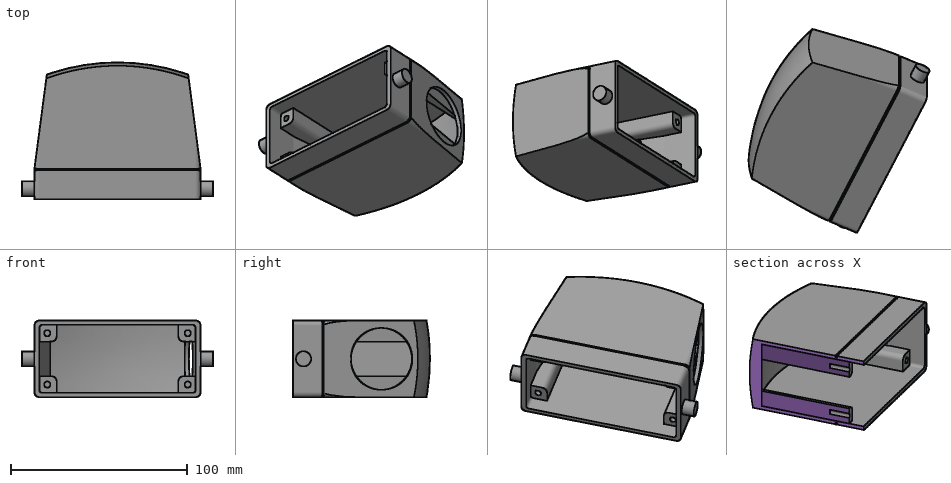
import cadquery as cq
import math

LENGTH = 94.0
WIDTH = 43.5
HEIGHT = 77.55
CORNER_RADIUS = 3.0
TAPER_START = 17.5
TAPER_ANGLE = 7.5
DOME_RADIUS = 119.0

GROOVE_WIDTH = 1.0
GROOVE_DEPTH = 1.0

SIDE_WALL = 2.5
END_WALL = 2.85
CAVITY_CORNER_RADIUS = 1.75
CAVITY_TAPER_START = 20.0
ROOF_THICKNESS = 3.5

PEG_DIAMETER = 8.6
PEG_SPAN = 108.0
PEG_HEIGHT = 6.0

ENTRY_DIAMETER = 35.0
ENTRY_HEIGHT = 50.2

POST_RECESS = 9.0
POST_INNER_X = 34.4
POST_OUTER_X = 44.0
POST_INNER_Z = 9.8
POST_EDGE_RADIUS = 3.0
SCREW_DIAMETER = 3.5
SCREW_DEPTH = 12.0
SCREW_X = 39.7
SCREW_Z = 14.5

CAVITY_LENGTH = LENGTH - 2 * END_WALL
CAVITY_WIDTH = WIDTH - 2 * SIDE_WALL
CAVITY_HEIGHT = HEIGHT - ROOF_THICKNESS


def prism(length, width, start, end, radius):
    """Rounded rectangular bar along Y, centred on the Y axis."""
    bar = cq.Workplane("XY").box(length, end - start, width).edges("|Y").fillet(radius)
    return bar.translate((0, (start + end) / 2, 0))


def end_wall_slab(length, taper_start, top):
    """Slab along Z with end walls that are straight up to taper_start and lean inwards above it."""
    rim_x = length / 2
    top_x = rim_x - (top - taper_start) * math.tan(math.radians(TAPER_ANGLE))
    outline = [
        (rim_x, 0),
        (rim_x, taper_start),
        (top_x, top),
        (-top_x, top),
        (-rim_x, taper_start),
        (-rim_x, 0),
    ]
    return cq.Workplane("XY").polyline(outline).close().extrude(WIDTH, both=True)


def dome_ball(radius, top):
    """Ball with its poles on the Y axis and its crown at the given height."""
    centre = cq.Vector(0, top - radius, 0)
    ball = cq.Solid.makeSphere(radius, centre, cq.Vector(0, 1, 0), -90, 90, 360)
    return cq.Workplane(ball)


def build_envelope():
    """Outer shape of the hood, without groove, pegs and openings."""
    block = prism(LENGTH, WIDTH, 0, HEIGHT, CORNER_RADIUS)
    block = block.intersect(end_wall_slab(LENGTH, TAPER_START, HEIGHT))
    return block.intersect(dome_ball(DOME_RADIUS, HEIGHT))


def build_cavity():
    """Shape of the space inside the hood, which the posts also fit into."""
    block = prism(CAVITY_LENGTH, CAVITY_WIDTH, 0, CAVITY_HEIGHT, CAVITY_CORNER_RADIUS)
    slab = end_wall_slab(CAVITY_LENGTH, CAVITY_TAPER_START, CAVITY_HEIGHT)
    return block.intersect(slab).intersect(dome_ball(DOME_RADIUS - ROOF_THICKNESS, CAVITY_HEIGHT))


def groove_ring():
    start = TAPER_START - GROOVE_WIDTH
    outside = prism(LENGTH + GROOVE_DEPTH, WIDTH + GROOVE_DEPTH, start, TAPER_START, CORNER_RADIUS)
    core_length = LENGTH - 2 * GROOVE_DEPTH
    core_width = WIDTH - 2 * GROOVE_DEPTH
    core = prism(core_length, core_width, start, TAPER_START, CORNER_RADIUS)
    return outside.cut(core)


def cable_entry():
    """Cutter square to the leaning +X end wall, long enough to pass through that wall only."""
    lean = math.radians(TAPER_ANGLE)
    wall_x = LENGTH / 2 - (ENTRY_HEIGHT - TAPER_START) * math.tan(lean)
    axis = cq.Vector(math.cos(lean), math.sin(lean), 0)
    reach = 2 * END_WALL
    start = cq.Vector(wall_x, ENTRY_HEIGHT, 0) - axis * reach
    return cq.Workplane(cq.Solid.makeCylinder(ENTRY_DIAMETER / 2, 2 * reach, start, axis))


def peg(side):
    """Locking peg on one end wall, rooted halfway into the wall."""
    root = side * (LENGTH - END_WALL) / 2
    tip = side * PEG_SPAN / 2
    section = cq.Workplane("YZ", origin=(root, PEG_HEIGHT, 0)).circle(PEG_DIAMETER / 2)
    return section.extrude(tip - root)


def build_hood(cavity):
    hood = build_envelope().cut(cavity).cut(groove_ring()).cut(cable_entry())
    for side in (-1, 1):
        hood = hood.union(peg(side))
    return hood


def build_post(cavity, side_x, side_z):
    """Screw post in one corner: a bar from the post face to the roof, trimmed to fit the cavity."""
    size_x = POST_OUTER_X - POST_INNER_X
    size_y = CAVITY_HEIGHT - POST_RECESS
    size_z = CAVITY_WIDTH / 2 - POST_INNER_Z
    bar = cq.Workplane("XY").box(size_x, size_y, size_z, centered=False)
    bar = bar.edges("|Y and <X and <Z").fillet(POST_EDGE_RADIUS)
    post = bar.translate((POST_INNER_X, POST_RECESS, POST_INNER_Z)).intersect(cavity)

    hole_start = cq.Vector(SCREW_X, POST_RECESS, SCREW_Z)
    hole = cq.Solid.makeCylinder(SCREW_DIAMETER / 2, SCREW_DEPTH, hole_start, cq.Vector(0, 1, 0))
    post = post.cut(cq.Workplane(hole))

    if side_x < 0:
        post = post.mirror("YZ")
    if side_z < 0:
        post = post.mirror("XY")
    return post


cavity = build_cavity()
hood = build_hood(cavity)

posts = []
for side_x in (-1, 1):
    for side_z in (-1, 1):
        post = build_post(cavity, side_x, side_z)
        posts.append(post.val())

result = cq.Compound.makeCompound([hood.val(), *posts])